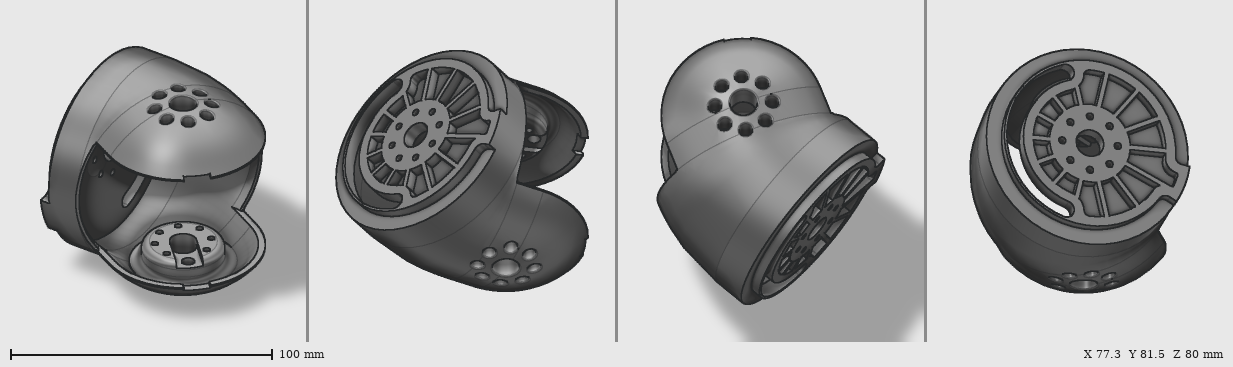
import cadquery as cq
import math

outer_radius = 40.0
cavity_radius = 37.5
flange_step = 4.0
plate_back = 6.0
bend_start = 17.0
bend_radius = 40.1
bend_angle = 28.0
arm_length = 11.3

gap_half = 24.0
gap_setback = 0.4
gap_corner = 1.0
trim_radius = 31.5
relief_radius = 40.4

pad_radius = 16.0
pad_face = 22.6
pad_rim_fillet = 3.0
pad_root_fillet = 3.0
bore_diameter = 10.4
hole_circle_radius = 11.0
hole_count = 8
screw_diameter = 2.7
head_diameter = 5.0
seat_thickness = 3.0
mouth_fillet = 0.5
channel_width = bore_diameter
channel_depth = 2.4
channel_angle = -45.0
channel_length = pad_radius + 1.0
rim_notch_depth = 1.7

hub_radius = 34.0
hub_bore_diameter = 10.8
tab_angle = 199.3
tab_half_angle = 11.5
tab_root_fillet = 3.0
slot_inner_radius = 26.4
slot_outer_radius = 33.0
slot_half_angle = 71.2
spoke_count = 14
spoke_width = 2.0
pocket_inner_radius = 16.0
pocket_margin = 3.9
pocket_depth = 4.5
pocket_root_fillet = 5.5
pocket_corner_fillet = 2.4
pocket_tab_fillet = 1.0

big = 4.0 * outer_radius
tolerance = 0.01
bend = math.radians(bend_angle)
arm_dir = (math.cos(bend), -math.sin(bend), 0)
across_arm = (math.sin(bend), math.cos(bend), 0)
bend_end_x = bend_start + bend_radius * math.sin(bend)
bend_end_y = bend_radius * (math.cos(bend) - 1.0)
joint_x = bend_end_x + arm_length * arm_dir[0]
joint_y = bend_end_y + arm_length * arm_dir[1]


def tube(radius, start, end):
    """Cylinder along X."""
    return cq.Workplane("YZ", origin=(start, 0, 0)).circle(radius).extrude(end - start)


def turned(shape, angle):
    """Turn about X, from +Y towards +Z."""
    return shape.rotate((0, 0, 0), (1, 0, 0), angle)


def at_joint(shape):
    return shape.translate((joint_x, joint_y, 0))


def post(radius, bottom, top):
    """Upright cylinder about the origin."""
    return cq.Workplane("XY", origin=(0, 0, bottom)).circle(radius).extrude(top - bottom)


def both_arms(shape):
    return shape.union(shape.mirror("XY"))


def arm_frame(distance):
    """Workplane across the arm axis, a given distance past the end of the bend."""
    origin = (bend_end_x + distance * arm_dir[0], bend_end_y + distance * arm_dir[1], 0)
    return cq.Workplane(cq.Plane(origin=origin, xDir=(0, 0, 1), normal=arm_dir))


def beyond_joint():
    return arm_frame(arm_length).rect(big, big).extrude(big)


def elbow(radius):
    """Bent length of round bar."""
    section = cq.Workplane("YZ", origin=(bend_start, 0, 0)).circle(radius)
    return section.revolve(bend_angle, (-bend_radius, 1, 0), (-bend_radius, 0, 0))


def arm(radius):
    """Straight bar ending in a ball about the joint centre."""
    ball = at_joint(cq.Workplane("XY").sphere(radius))
    return arm_frame(0).circle(radius).extrude(arm_length).union(ball.intersect(beyond_joint()))


def fork_outline():
    """Tall prism following the arm and rounded about the joint."""
    bar = arm_frame(0).rect(2 * big, 2 * trim_radius).extrude(arm_length)
    return bar.union(at_joint(post(trim_radius, -big, big)).intersect(beyond_joint()))


def outer_form():
    form = tube(outer_radius, flange_step, bend_start).union(elbow(outer_radius))
    return form.union(arm(outer_radius).intersect(fork_outline()))


def inner_form():
    """Hollow of the tube and the fork, with the open gap and the clearance for the mating joint."""
    form = tube(cavity_radius, plate_back, bend_start).union(elbow(cavity_radius))
    form = form.union(arm(cavity_radius))
    gap = arm_frame(-gap_setback).rect(2 * gap_half, big).extrude(big)
    gap = gap.edges(cq.selectors.ParallelDirSelector(cq.Vector(*across_arm))).fillet(gap_corner)
    slab = cq.Workplane("XY").box(big, big, 2 * gap_half)
    relief = at_joint(cq.Workplane("XY").sphere(relief_radius)).intersect(slab)
    return form.union(gap).union(relief)


def pad():
    """Upper joint pad: round boss with a rounded rim, flaring into the ball-shaped hollow."""
    rim_x = pad_radius - pad_rim_fillet
    rim_z = pad_face + pad_rim_fillet
    flare_x = pad_radius + pad_root_fillet
    flare_distance = cavity_radius - pad_root_fillet
    flare_z = math.sqrt(flare_distance**2 - flare_x**2)
    flare_angle = math.atan2(flare_z, flare_x)
    foot = (cavity_radius * math.cos(flare_angle), cavity_radius * math.sin(flare_angle))
    middle_angle = (math.pi + flare_angle) / 2
    flare_middle = (
        flare_x + pad_root_fillet * math.cos(middle_angle),
        flare_z + pad_root_fillet * math.sin(middle_angle),
    )
    profile = (
        cq.Workplane("XZ")
        .moveTo(0, pad_face)
        .lineTo(rim_x, pad_face)
        .radiusArc((pad_radius, rim_z), -pad_rim_fillet)
        .lineTo(pad_radius, flare_z)
        .threePointArc(flare_middle, foot)
        .lineTo(foot[0], outer_radius)
        .lineTo(0, outer_radius)
        .close()
    )
    return at_joint(profile.revolve())


def hole_centre(k):
    angle = math.radians(k * 360 / hole_count)
    return (hole_circle_radius * math.cos(angle), hole_circle_radius * math.sin(angle), 0)


def joint_holes():
    """Bore and counterbored screw holes of the upper arm; the hole in the channel is full width."""
    holes = post(bore_diameter / 2, 0, big)
    channel_hole = round(channel_angle * hole_count / 360) % hole_count
    for k in range(hole_count):
        head_bottom = 0 if k == channel_hole else pad_face + seat_thickness
        hole = post(screw_diameter / 2, 0, big).union(post(head_diameter / 2, head_bottom, big))
        holes = holes.union(hole.translate(hole_centre(k)))
    return at_joint(holes)


def round_mouths(shape):
    """Round the outer edges of the bore and of the screw heads."""
    circles = [(joint_x, joint_y, bore_diameter / 2)]
    for k in range(hole_count):
        x, y, _ = hole_centre(k)
        circles.append((joint_x + x, joint_y + y, head_diameter / 2))
    mouths = []
    for edge in shape.edges().vals():
        points = [edge.positionAt(t) for t in (0, 0.5, 1)]
        if min(abs(p.z) for p in points) < pad_face + 2 * seat_thickness:
            continue
        for x, y, radius in circles:
            gaps = [abs(math.hypot(p.x - x, p.y - y) - radius) for p in points]
            if max(gaps) < tolerance and edge.geomType() != "LINE":
                mouths.append(edge)
    return shape.newObject(mouths).fillet(mouth_fillet)


def channel_block(start, end, top):
    """Block from the mid plane up, running outwards from the joint axis along the channel."""
    block = cq.Workplane("XY").center((start + end) / 2, 0).rect(end - start, channel_width).extrude(top)
    return at_joint(block.rotate((0, 0, 0), (0, 0, 1), channel_angle))


def channels():
    """Channel across the pad face and the shallow notch in the arm rim beyond it."""
    pad_channel = channel_block(0, channel_length, pad_face + channel_depth)
    return pad_channel.union(channel_block(channel_length, big, gap_half + rim_notch_depth))


def sector(radius, half_angle, apex, depth):
    """Wedge about +Y with its point at Y = apex, cut off at a radius about X."""
    reach = big * math.tan(math.radians(half_angle))
    corners = [(apex, 0), (apex + big, reach), (apex + big, -reach)]
    wedge = cq.Workplane("YZ").polyline(corners).close().extrude(depth)
    return wedge.intersect(tube(radius, 0, depth))


def edges_at(shape, radius, angle):
    """Edges along X at a radius, within a right angle of a direction about X."""
    direction = math.radians(angle)
    found = []
    for edge in shape.edges("|X").vals():
        y, z = edge.Center().y, edge.Center().z
        facing = y * math.cos(direction) + z * math.sin(direction)
        if abs(math.hypot(y, z) - radius) < tolerance and facing > 0:
            found.append(edge)
    return shape.newObject(found)


def tabbed_disc(inset, root_fillet, depth):
    """Hub disc with its tab, drawn in by `inset` on every side."""
    disc_radius = hub_radius - inset
    apex = inset / math.sin(math.radians(tab_half_angle))
    tab = turned(sector(outer_radius - inset, tab_half_angle, apex, depth), tab_angle)
    disc = tube(disc_radius, 0, depth).union(tab)
    return edges_at(disc, disc_radius, tab_angle).fillet(root_fillet)


def arc_slot(margin, depth):
    """Round-ended slot about X on the +Y side, widened by `margin`."""
    middle = (slot_inner_radius + slot_outer_radius) / 2
    half_width = (slot_outer_radius - slot_inner_radius) / 2 + margin
    ring = tube(middle + half_width, 0, depth).cut(tube(middle - half_width, 0, depth))
    slot = ring.intersect(sector(big, slot_half_angle, 0, depth))
    for side in (-1, 1):
        end = tube(half_width, 0, depth).translate((0, middle, 0))
        slot = slot.union(turned(end, side * slot_half_angle))
    return slot


def pockets():
    """Ring of shallow pockets between the spokes."""
    shape = tabbed_disc(pocket_margin, pocket_root_fillet, pocket_depth)
    shape = shape.cut(arc_slot(pocket_margin, pocket_depth))
    shape = edges_at(shape, hub_radius - pocket_margin, 0).fillet(pocket_corner_fillet)
    shape = shape.cut(tube(pocket_inner_radius, 0, pocket_depth))
    spoke = cq.Workplane("YZ").center(big / 2, 0).rect(big, spoke_width).extrude(pocket_depth)
    for k in range(spoke_count):
        shape = shape.cut(turned(spoke, k * 360 / spoke_count))
    return edges_at(shape, outer_radius - pocket_margin, tab_angle).fillet(pocket_tab_fillet)


def hub_holes():
    holes = tube(hub_bore_diameter / 2, 0, plate_back)
    hole = tube(screw_diameter / 2, 0, plate_back).translate((0, hole_circle_radius, 0))
    for k in range(hole_count):
        holes = holes.union(turned(hole, k * 360 / hole_count))
    return holes


shell = round_mouths(outer_form().cut(both_arms(joint_holes())))
shell = shell.cut(inner_form().cut(both_arms(pad())))
shell = shell.cut(both_arms(channels()))

result = shell.union(tabbed_disc(0, tab_root_fillet, flange_step))
result = result.cut(arc_slot(0, plate_back)).cut(pockets()).cut(hub_holes())